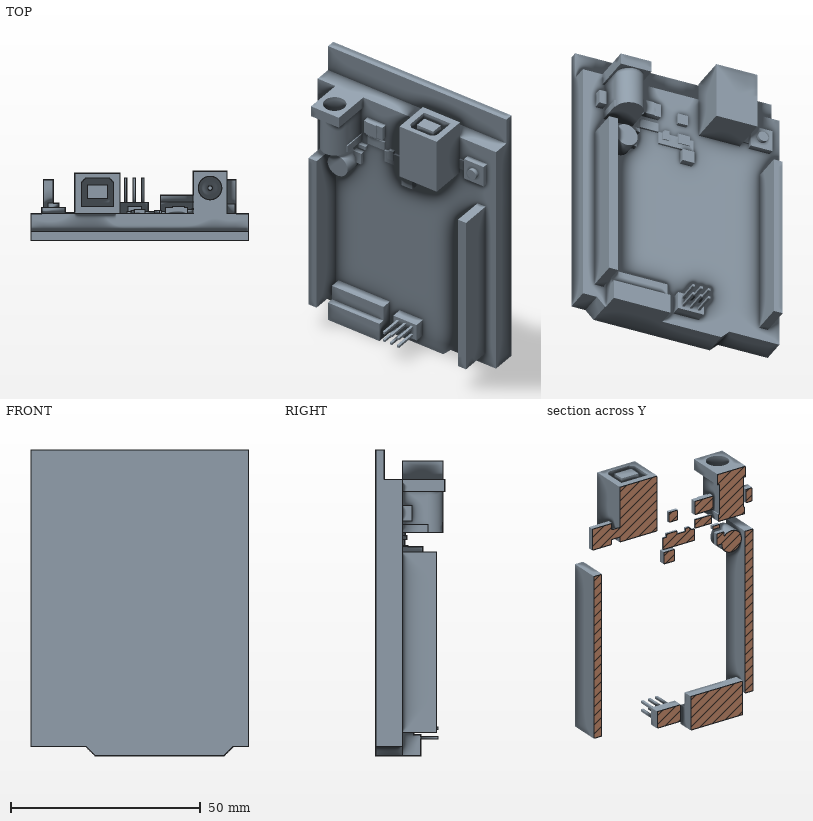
import cadquery as cq


WIDTH = 57.5
PLATE_HEIGHT = 80.7
CARRIER_HEIGHT = 72.9
PLATE_THICKNESS = 2.35
BOARD_TOP = 7.1
TAB_LEFT = 14.6
TAB_RIGHT = 53.4
TAB_DEPTH = 2.4

USB_WIDTH = 12.0
USB_LEFT = 11.6
USB_RISE = 10.7
USB_BOTTOM = 61.55
USB_TOP = 77.8
USB_CAVITY_WIDTH = 8.5
USB_CAVITY_HEIGHT = 7.45
USB_CAVITY_CHAMFER = 1.1
USB_CAVITY_DEPTH = 8.0
USB_CAVITY_BASE = 1.9
USB_TONGUE_WIDTH = 5.3
USB_TONGUE_HEIGHT = 3.45
USB_TONGUE_BASE = 4.05

JACK_WIDTH = 9.0
JACK_CENTER_X = 47.3
JACK_RISE = 11.2
JACK_AXIS_RISE = 6.75
JACK_TOP = CARRIER_HEIGHT
JACK_FLANGE = 3.2
JACK_LENGTH = 14.0
JACK_BARREL_RADIUS = 3.9
JACK_BORE_RADIUS = 3.1
JACK_BORE_DEPTH = 10.0
JACK_PIN_RADIUS = 0.6
JACK_PIN_LENGTH = 6.0
JACK_FOOT_LENGTH = 2.1
JACK_FOOT_WIDTH = 8.4

STRIP_WIDTH = 2.6
STRIP_RISE = 9.0
STRIP_BOTTOM = 6.1
STRIP_TOP = 53.8
LEFT_STRIP_X = 3.35
RIGHT_STRIP_X = 51.55

HEADER_CENTER_X = 27.3
HEADER_WIDTH = 7.5
HEADER_RISE = 2.95
HEADER_BOTTOM = 3.5
HEADER_LENGTH = 5.0
PIN_SIZE = 0.7
PIN_RISE = 9.4
PIN_COLUMNS = 3
PIN_ROWS = 2
PIN_PITCH_X = 2.27
PIN_PITCH_Z = 2.5

BUTTON_SIZE = 6.3
BUTTON_RISE = 1.65
BUTTON_CENTER_X = 6.0
BUTTON_CENTER_Z = 64.7
BUTTON_CAP_RADIUS = 1.45
BUTTON_CAP_RISE = 2.75

CAPACITOR_RADIUS = 3.2
CAPACITOR_RISE = 5.4
CAPACITOR_CENTER_X = 47.3
CAPACITOR_CENTER_Z = 52.0

SMALL_COMPONENTS = {
    "lower edge socket": (34.2, 50.8, 4.85, 0.0, 5.6),
    "lower edge socket step": (34.2, 50.8, 3.0, 5.6, 10.0),
    "block beside the power jack": (51.8, 53.9, 2.5, 62.0, 66.0),
    "square chip": (25.7, 29.2, 1.9, 51.2, 54.7),
    "chip beside the USB socket": (27.3, 30.2, 1.15, 63.0, 66.0),
    "regulator body": (35.5, 41.4, 1.65, 63.0, 67.0),
    "regulator ridge": (37.4, 40.6, 1.9, 63.0, 67.0),
    "upper chip below the regulator": (41.3, 43.5, 1.15, 57.0, 58.1),
    "lower chip below the regulator": (42.5, 45.0, 1.4, 52.0, 55.5),
    "low wide chip": (25.4, 35.6, 0.6, 55.5, 59.0),
    "left part on the wide chip": (26.5, 30.0, 0.85, 57.0, 59.9),
    "right part on the wide chip": (32.6, 34.0, 0.85, 57.0, 59.9),
    "end of the right part": (34.0, 34.5, 0.85, 57.0, 59.4),
    "low part below the regulator": (35.6, 41.0, 0.6, 59.0, 61.6),
    "low part beside the button": (9.0, 12.0, 0.35, 63.0, 66.0),
}


def block(left, right, back, front, bottom, top):
    """Box given by its limits along X, Y and Z."""
    size = (right - left, front - back, top - bottom)
    return cq.Workplane("XY").box(*size, centered=False).translate((left, back, bottom))


def on_board(left, right, rise, bottom, top):
    """Box standing on the board face."""
    return block(left, right, BOARD_TOP, BOARD_TOP + rise, bottom, top)


def upright_cylinder(x, y, radius, bottom, top):
    """Cylinder with its axis along Z."""
    return cq.Workplane("XY", origin=(x, y, bottom)).circle(radius).extrude(top - bottom)


def outward_cylinder(x, z, radius, rise):
    """Cylinder standing on the board face with its axis along Y."""
    solid = cq.Solid.makeCylinder(radius, rise, cq.Vector(x, BOARD_TOP, z), cq.Vector(0, 1, 0))
    return cq.Workplane(obj=solid)


def make_slab(height, back, front):
    """Rectangular slab with the chamfered tab along its lower edge."""
    outline = [
        (0, TAB_DEPTH),
        (TAB_LEFT, TAB_DEPTH),
        (TAB_LEFT + TAB_DEPTH, 0),
        (TAB_RIGHT - TAB_DEPTH, 0),
        (TAB_RIGHT, TAB_DEPTH),
        (WIDTH, TAB_DEPTH),
        (WIDTH, height),
        (0, height),
    ]
    plane = cq.Workplane("XZ", origin=(0, back, 0))
    return plane.polyline(outline).close().extrude(back - front)


def make_usb_socket():
    center_x = USB_LEFT + USB_WIDTH / 2
    shell = on_board(USB_LEFT, USB_LEFT + USB_WIDTH, USB_RISE, USB_BOTTOM, USB_TOP)
    floor = USB_TOP - USB_CAVITY_DEPTH
    cavity_back = BOARD_TOP + USB_CAVITY_BASE
    cavity = block(
        center_x - USB_CAVITY_WIDTH / 2,
        center_x + USB_CAVITY_WIDTH / 2,
        cavity_back,
        cavity_back + USB_CAVITY_HEIGHT,
        floor,
        USB_TOP,
    )
    cavity = cavity.faces(">Y").edges("|Z").chamfer(USB_CAVITY_CHAMFER)
    tongue_back = BOARD_TOP + USB_TONGUE_BASE
    tongue = block(
        center_x - USB_TONGUE_WIDTH / 2,
        center_x + USB_TONGUE_WIDTH / 2,
        tongue_back,
        tongue_back + USB_TONGUE_HEIGHT,
        floor,
        USB_TOP,
    )
    return shell.cut(cavity).union(tongue)


def make_power_jack():
    axis_y = BOARD_TOP + JACK_AXIS_RISE
    bottom = JACK_TOP - JACK_LENGTH

    def centered(width, rise, low, high):
        return on_board(JACK_CENTER_X - width / 2, JACK_CENTER_X + width / 2, rise, low, high)

    flange = centered(JACK_WIDTH, JACK_RISE, JACK_TOP - JACK_FLANGE, JACK_TOP)
    barrel = upright_cylinder(JACK_CENTER_X, axis_y, JACK_BARREL_RADIUS, bottom, JACK_TOP)
    saddle = centered(2 * JACK_BARREL_RADIUS, JACK_AXIS_RISE, bottom, JACK_TOP)
    foot = centered(JACK_FOOT_WIDTH, JACK_AXIS_RISE, bottom, bottom + JACK_FOOT_LENGTH)
    floor = JACK_TOP - JACK_BORE_DEPTH
    bore = upright_cylinder(JACK_CENTER_X, axis_y, JACK_BORE_RADIUS, floor, JACK_TOP)
    pin = upright_cylinder(JACK_CENTER_X, axis_y, JACK_PIN_RADIUS, floor, floor + JACK_PIN_LENGTH)
    return flange.union(barrel).union(saddle).union(foot).cut(bore).union(pin)


def make_pin_header():
    left = HEADER_CENTER_X - HEADER_WIDTH / 2
    header = on_board(left, left + HEADER_WIDTH, HEADER_RISE, HEADER_BOTTOM, HEADER_BOTTOM + HEADER_LENGTH)
    center_z = HEADER_BOTTOM + HEADER_LENGTH / 2
    for column in range(PIN_COLUMNS):
        pin_left = HEADER_CENTER_X + (column - (PIN_COLUMNS - 1) / 2) * PIN_PITCH_X - PIN_SIZE / 2
        for row in range(PIN_ROWS):
            pin_bottom = center_z + (row - (PIN_ROWS - 1) / 2) * PIN_PITCH_Z - PIN_SIZE / 2
            pin = on_board(pin_left, pin_left + PIN_SIZE, PIN_RISE, pin_bottom, pin_bottom + PIN_SIZE)
            header = header.union(pin)
    return header


def make_reset_button():
    half = BUTTON_SIZE / 2
    base = on_board(
        BUTTON_CENTER_X - half,
        BUTTON_CENTER_X + half,
        BUTTON_RISE,
        BUTTON_CENTER_Z - half,
        BUTTON_CENTER_Z + half,
    )
    cap = outward_cylinder(BUTTON_CENTER_X, BUTTON_CENTER_Z, BUTTON_CAP_RADIUS, BUTTON_CAP_RISE)
    return base.union(cap)


result = make_slab(PLATE_HEIGHT, 0, PLATE_THICKNESS)
result = result.union(make_slab(CARRIER_HEIGHT, PLATE_THICKNESS, BOARD_TOP))
for strip_x in (LEFT_STRIP_X, RIGHT_STRIP_X):
    result = result.union(on_board(strip_x, strip_x + STRIP_WIDTH, STRIP_RISE, STRIP_BOTTOM, STRIP_TOP))
for limits in SMALL_COMPONENTS.values():
    result = result.union(on_board(*limits))
result = result.union(
    outward_cylinder(CAPACITOR_CENTER_X, CAPACITOR_CENTER_Z, CAPACITOR_RADIUS, CAPACITOR_RISE)
)
result = result.union(make_pin_header())
result = result.union(make_reset_button())
result = result.union(make_power_jack())
result = result.union(make_usb_socket())